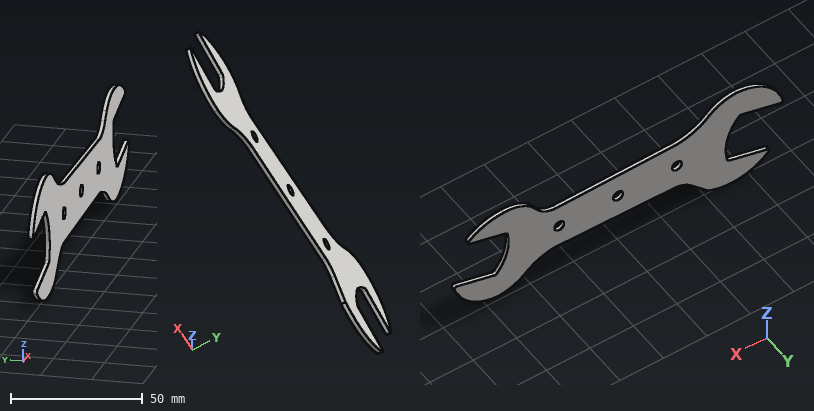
import cadquery as cq
import math

THICKNESS = 2.0
BACK_FACE = (0, THICKNESS / 2, 0)
HOLE_DIAMETER = 4.4
HOLE_PITCH = 27.0
TIP_RADIUS = 1.0
THROAT_RADIUS = 1.4
JAW_SLOPE = math.tan(math.radians(15))
CUT_OVERRUN = 15.1

LEFT_UPPER_FACE = 25.5
LEFT_LOWER_FACE = 1.7
RIGHT_UPPER_FACE = -2.7
RIGHT_LOWER_FACE = -24.5

LEFT_UPPER_TIP_X = -76.2
LEFT_LOWER_TIP_X = -70.4
RIGHT_UPPER_TIP_X = 70.0
RIGHT_LOWER_TIP_X = 75.7
LEFT_THROAT_X = (-56.2, -50.5)
RIGHT_THROAT_X = (51.0, 56.2)
LEFT_THROAT_MIDDLE = (-49.7, -2.4)
RIGHT_THROAT_MIDDLE = (50.8, 1.4)


def on_face(x, face):
    """Point at x on the inclined jaw face that crosses X = 0 at height face."""
    return (x, face + JAW_SLOPE * x)


def wrench_blank():
    """Plate with both heads, bounded across each jaw opening by a straight line."""
    outline = (
        cq.Workplane("XZ", origin=BACK_FACE)
        .moveTo(*on_face(LEFT_UPPER_TIP_X, LEFT_UPPER_FACE))
        .threePointArc((-68.5, 18.6), (-54.4, 24.2))
        .threePointArc((-47.5, 22.7), (-41.9, 19.0))
        .threePointArc((-34.3, 14.0), (-26.0, 12.1))
        .lineTo(28.7, 11.0)
        .threePointArc((33.7, 12.4), (37.0, 15.4))
        .lineTo(39.7, 18.7)
        .threePointArc((45.2, 22.4), (52.7, 23.5))
        .threePointArc((62.3, 21.5), on_face(RIGHT_UPPER_TIP_X, RIGHT_UPPER_FACE))
        .lineTo(*on_face(RIGHT_LOWER_TIP_X, RIGHT_LOWER_FACE))
        .threePointArc((68.2, -17.0), (54.9, -22.2))
        .threePointArc((47.8, -20.4), (42.8, -17.2))
        .threePointArc((36.3, -12.8), (29.2, -10.9))
        .lineTo(-26.3, -12.0)
        .threePointArc((-30.5, -13.0), (-33.2, -15.0))
        .lineTo(-41.3, -23.0)
        .threePointArc((-55.9, -25.2), on_face(LEFT_LOWER_TIP_X, LEFT_LOWER_FACE))
        .close()
    )
    return outline.extrude(THICKNESS)


def jaw_cutter(upper_face, lower_face, throat_x, throat_middle, side):
    """Opening with parallel faces and a curved throat; side is -1 left or 1 right."""
    upper_x, lower_x = throat_x
    outer_x = side * (max(abs(LEFT_UPPER_TIP_X), abs(RIGHT_LOWER_TIP_X)) + CUT_OVERRUN)
    cutter = (
        cq.Workplane("XZ", origin=BACK_FACE)
        .moveTo(*on_face(outer_x, upper_face))
        .lineTo(*on_face(upper_x, upper_face))
        .threePointArc(throat_middle, on_face(lower_x, lower_face))
        .lineTo(*on_face(outer_x, lower_face))
        .close()
        .extrude(THICKNESS)
    )
    for x, z in (on_face(upper_x, upper_face), on_face(lower_x, lower_face)):
        cutter = round_corner(cutter, x, z, THROAT_RADIUS)
    return cutter


def round_corner(body, x, z, radius):
    """Round the edge running through the thickness at (x, z)."""
    edge = cq.selectors.NearestToPointSelector((x, 0, z))
    return body.edges("|Y").edges(edge).fillet(radius)


wrench = wrench_blank()
wrench = wrench.cut(
    jaw_cutter(LEFT_UPPER_FACE, LEFT_LOWER_FACE, LEFT_THROAT_X, LEFT_THROAT_MIDDLE, -1)
)
wrench = wrench.cut(
    jaw_cutter(RIGHT_UPPER_FACE, RIGHT_LOWER_FACE, RIGHT_THROAT_X, RIGHT_THROAT_MIDDLE, 1)
)

for tip_x, face in (
    (LEFT_UPPER_TIP_X, LEFT_UPPER_FACE),
    (LEFT_LOWER_TIP_X, LEFT_LOWER_FACE),
    (RIGHT_UPPER_TIP_X, RIGHT_UPPER_FACE),
    (RIGHT_LOWER_TIP_X, RIGHT_LOWER_FACE),
):
    wrench = round_corner(wrench, *on_face(tip_x, face), TIP_RADIUS)

holes = (
    cq.Workplane("XZ", origin=BACK_FACE)
    .pushPoints([(-HOLE_PITCH, 0), (0, 0), (HOLE_PITCH, 0)])
    .circle(HOLE_DIAMETER / 2)
    .extrude(THICKNESS)
)
result = wrench.cut(holes)